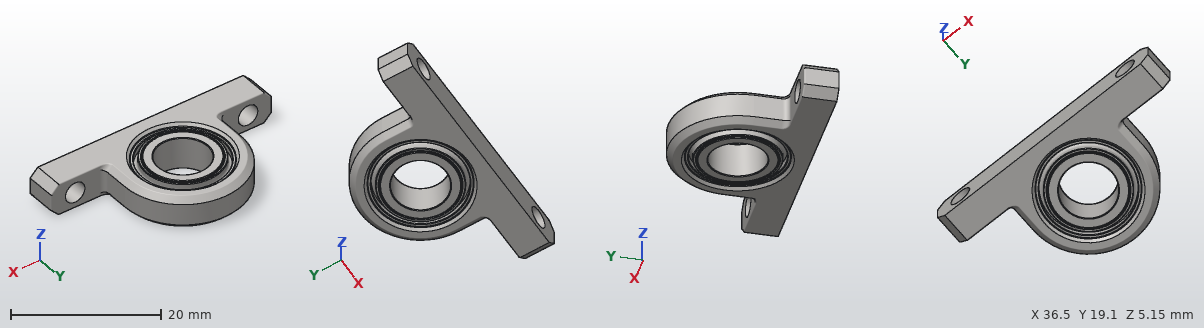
import cadquery as cq

LENGTH = 36.5
HEIGHT = 5.15
TOWER_RADIUS = 9.53
BORE_CENTER_Y = TOWER_RADIUS
FOOT_DEPTH = 4.75
FOOT_CORNER = 1.28
TOWER_CHAMFER = 0.88
JUNCTION_RADIUS = 0.88
EDGE_RADIUS = 0.2

MOUNT_HOLE_DIAMETER = 3.2
MOUNT_HOLE_SPACING = 28.6

SEAT_RADIUS = 7.12
SEAT_CHAMFER = 0.4

BEARING_BORE_RADIUS = 4.0
RING_CHAMFER = 0.1
INNER_RING_RADIUS = 5.45
GAP_DEPTH = 0.35
HUB_INNER_RADIUS = 5.55
HUB_OUTER_RADIUS = 6.02
HUB_DROP = 0.07
CHANNEL_DEPTH = 1.5
CHANNEL_OUTER_RADIUS = 6.6
CHANNEL_FILLET = CHANNEL_OUTER_RADIUS - HUB_OUTER_RADIUS
OUTER_RING_DROP = 0.5

MID_Z = HEIGHT / 2

PICK_MARGIN = 0.05


def make_foot():
    foot = cq.Workplane("XY").box(LENGTH, FOOT_DEPTH, HEIGHT, centered=(True, False, False))
    return foot.edges("|Y").chamfer(FOOT_CORNER)


def make_tower():
    outline = (
        cq.Workplane("XY")
        .moveTo(-TOWER_RADIUS, 0)
        .lineTo(-TOWER_RADIUS, BORE_CENTER_Y)
        .threePointArc((0, BORE_CENTER_Y + TOWER_RADIUS), (TOWER_RADIUS, BORE_CENTER_Y))
        .lineTo(TOWER_RADIUS, 0)
        .close()
    )
    tower = outline.extrude(HEIGHT)
    return tower.faces("<Z or >Z").edges("not <Y").chamfer(TOWER_CHAMFER)


def box_selector(x_min, x_max, y_min, y_max):
    """Select edges lying wholly inside an upright box as tall as the housing."""
    low = (x_min - PICK_MARGIN, y_min - PICK_MARGIN, -PICK_MARGIN)
    high = (x_max + PICK_MARGIN, y_max + PICK_MARGIN, HEIGHT + PICK_MARGIN)
    return cq.selectors.BoxSelector(low, high, boundingbox=True)


def round_junctions(body):
    """Round the two inside corners where the tower rises from the back of the foot."""
    corners = box_selector(-TOWER_RADIUS, TOWER_RADIUS, FOOT_DEPTH, FOOT_DEPTH)
    return body.edges(corners).fillet(JUNCTION_RADIUS)


def round_back_edges(body):
    """Round the rear rim of the top and bottom faces and the back edges of the foot ends."""
    half_length = LENGTH / 2
    flat_start = half_length - FOOT_CORNER
    back_y = BORE_CENTER_Y + TOWER_RADIUS
    rim_box = box_selector(-flat_start, flat_start, FOOT_DEPTH, back_y)
    rim = body.faces("<Z or >Z").edges(rim_box).vals()
    left_end = body.edges(box_selector(-half_length, -flat_start, FOOT_DEPTH, FOOT_DEPTH)).vals()
    right_end = body.edges(box_selector(flat_start, half_length, FOOT_DEPTH, FOOT_DEPTH)).vals()
    return body.newObject(rim + left_end + right_end).fillet(EDGE_RADIUS)


def cut_mount_holes(body):
    holes = (
        cq.Workplane("XZ", origin=(0, 0, MID_Z))
        .pushPoints([(-MOUNT_HOLE_SPACING / 2, 0), (MOUNT_HOLE_SPACING / 2, 0)])
        .circle(MOUNT_HOLE_DIAMETER / 2)
        .extrude(-FOOT_DEPTH)
    )
    return body.cut(holes)


def revolve_mirrored(upper_half):
    """Revolve a closed half profile about Z, mirror it at mid height and move it to the bore axis."""
    ring = upper_half.revolve(360, (0, 0, 0), (0, 1, 0))
    full = ring.union(ring.mirror("XY"))
    return full.translate((0, BORE_CENTER_Y, MID_Z))


def make_seat_cutter():
    """Through bore for the bearing, widened by a chamfer at both ends."""
    profile = (
        cq.Workplane("XZ")
        .lineTo(SEAT_RADIUS, 0)
        .lineTo(SEAT_RADIUS, MID_Z - SEAT_CHAMFER)
        .lineTo(SEAT_RADIUS + SEAT_CHAMFER, MID_Z)
        .lineTo(0, MID_Z)
        .close()
    )
    return revolve_mirrored(profile)


def make_housing():
    body = make_foot().union(make_tower())
    body = round_junctions(body)
    body = round_back_edges(body)
    body = body.cut(make_seat_cutter())
    return cut_mount_holes(body)


def make_bearing():
    top = MID_Z
    hub_top = top - HUB_DROP
    gap_floor = top - GAP_DEPTH
    channel_floor = top - CHANNEL_DEPTH
    outer_top = top - OUTER_RING_DROP
    profile = (
        cq.Workplane("XZ")
        .moveTo(BEARING_BORE_RADIUS, 0)
        .lineTo(BEARING_BORE_RADIUS, top - RING_CHAMFER)
        .lineTo(BEARING_BORE_RADIUS + RING_CHAMFER, top)
        .lineTo(INNER_RING_RADIUS - RING_CHAMFER, top)
        .lineTo(INNER_RING_RADIUS, top - RING_CHAMFER)
        .lineTo(INNER_RING_RADIUS, gap_floor)
        .lineTo(HUB_INNER_RADIUS, gap_floor)
        .lineTo(HUB_INNER_RADIUS, hub_top - RING_CHAMFER)
        .lineTo(HUB_INNER_RADIUS + RING_CHAMFER, hub_top)
        .lineTo(HUB_OUTER_RADIUS - RING_CHAMFER, hub_top)
        .lineTo(HUB_OUTER_RADIUS, hub_top - RING_CHAMFER)
        .lineTo(HUB_OUTER_RADIUS, channel_floor + CHANNEL_FILLET)
        .radiusArc((CHANNEL_OUTER_RADIUS, channel_floor), -CHANNEL_FILLET)
        .lineTo(CHANNEL_OUTER_RADIUS, outer_top - RING_CHAMFER)
        .lineTo(CHANNEL_OUTER_RADIUS + RING_CHAMFER, outer_top)
        .lineTo(SEAT_RADIUS - RING_CHAMFER, outer_top)
        .lineTo(SEAT_RADIUS, outer_top - RING_CHAMFER)
        .lineTo(SEAT_RADIUS, 0)
        .close()
    )
    return revolve_mirrored(profile)


housing = make_housing()
bearing = make_bearing()
result = cq.Compound.makeCompound([housing.val(), bearing.val()])